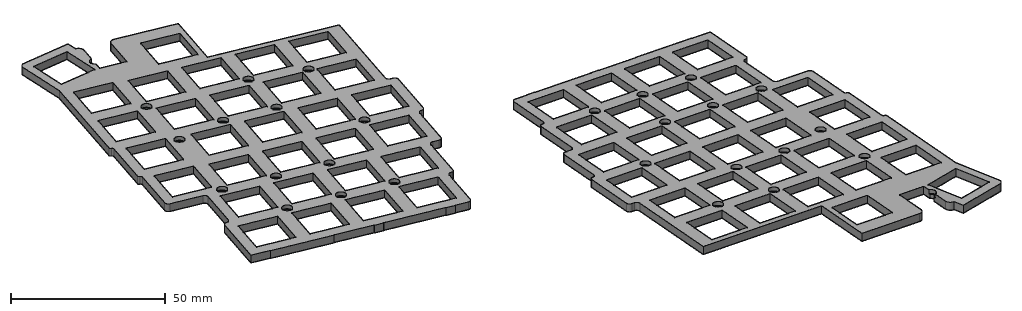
import cadquery as cq
import math

plate_width = 141.7
plate_height = 107.3
plate_thickness = 3.0

column_count = 6
row_count = 4
column_span = 95.2
key_pitch = column_span / (column_count - 1)
cutout_size = 14.0
edge_margin = 10.8
first_column_x = 35.4
first_column_top_y = plate_height - edge_margin - key_pitch / 4
column_staggers = [key_pitch * sixteenths / 16 for sixteenths in (0, 1, 4, 2, -2, -4)]

bottom_row_staggers = [key_pitch * sixteenths / 16 for sixteenths in (0, 0, 1, 2)]
bottom_row_shift = -1.0

arm_key_x = first_column_x - key_pitch
arm_key_y = 47.7

thumb_tilt = math.radians(15)
thumb_left_margin = 10.5
thumb_upper_margin = 10.3
thumb_lower_margin = 10.0
thumb_corner_radius = 1.8
thumb_x = thumb_left_margin * math.cos(thumb_tilt) + thumb_upper_margin * math.sin(thumb_tilt)
thumb_y = (
    (thumb_lower_margin - thumb_corner_radius) * math.cos(thumb_tilt)
    + (thumb_left_margin - thumb_corner_radius) * math.sin(thumb_tilt)
    + thumb_corner_radius
)

body_left = 26.2
body_top = 103.7
top_steps_x = [62.9, 84.6, 103.5, 122.8]
pad_height = 0.1
body_right = plate_width - pad_height
lower_right_step_x = 120.2
bottom_steps_x = [102.2, 83.0, 63.6]
arm_left = 3.7
arm_top = 56.8
arm_bottom = 32.0
notch_right = 17.7
notch_bottom = 22.4
corner_radius = 1.3
step_radius_share = 0.48
arm_radius = 2.0

edge_pads = [(88.4, 3.4), (62.9, 3.4), (26.1, 22.5)]

screw_diameter = 2.4
head_diameter = 3.5
head_depth = 1.4
screw_columns = {63.2: (64.3, 45.3), 101.2: (65.6, 46.6, 27.5), 120.3: (79.9, 60.9, 41.8)}
single_screws = [(82.2, 86.9), (46.5, 83.5), (43.9, 63.2), (45.2, 26.4), (67.9, 27.6), (13.2, 22.8)]


def column_key(column, row):
    """Centre of a grid key, counting rows from the top."""
    x = first_column_x + column * key_pitch
    y = first_column_top_y + column_staggers[column] - row * key_pitch
    return x, y


def bottom_key(column):
    """Centre of a key in the bottom row."""
    x = first_column_x + bottom_row_shift + column * key_pitch
    y = first_column_top_y - row_count * key_pitch + bottom_row_staggers[column]
    return x, y


def thumb_point(along, across):
    """Point given in the tilted axes of the thumb key."""
    x = thumb_x + along * math.cos(thumb_tilt) - across * math.sin(thumb_tilt)
    y = thumb_y + along * math.sin(thumb_tilt) + across * math.cos(thumb_tilt)
    return x, y


def step_corners(x, start_y, end_y):
    """Both rounded corners of a step in the outline."""
    radius = min(corner_radius, step_radius_share * abs(end_y - start_y))
    return [(x, start_y, radius), (x, end_y, radius)]


def outline_corners():
    """Corners of the plate, clockwise from the upper left, as (x, y, rounding radius)."""
    corners = [(body_left, body_top, 0)]

    edge_y = body_top
    for column, step_x in enumerate(top_steps_x, start=2):
        next_y = column_key(column, 0)[1] + edge_margin
        corners += step_corners(step_x, edge_y, next_y)
        edge_y = next_y
    corners.append((body_right, edge_y, corner_radius))

    fifth_bottom = column_key(4, row_count - 1)[1] - edge_margin
    sixth_bottom = column_key(5, row_count - 1)[1] - edge_margin
    corners.append((body_right, sixth_bottom, 0))
    corners += step_corners(lower_right_step_x, sixth_bottom, fifth_bottom)

    edge_y = fifth_bottom
    for column, step_x in zip((3, 2, 1), bottom_steps_x):
        next_y = bottom_key(column)[1] - edge_margin
        corners += step_corners(step_x, edge_y, next_y)
        edge_y = next_y

    lower_left = thumb_point(-thumb_left_margin, -thumb_lower_margin)
    upper_left = thumb_point(-thumb_left_margin, thumb_upper_margin)
    slope = math.tan(thumb_tilt)
    corners += [
        (lower_left[0] + (edge_y - lower_left[1]) / slope, edge_y, 0),
        (*lower_left, thumb_corner_radius),
        (*upper_left, 0),
        (arm_left, upper_left[1] + (arm_left - upper_left[0]) * slope, 0),
        (arm_left, notch_bottom, arm_radius),
    ]

    corners += [
        (notch_right, notch_bottom, 0),
        (notch_right, arm_bottom, 0),
        (arm_left, arm_bottom, arm_radius),
        (arm_left, arm_top, 0),
        (body_left, arm_top, 0),
    ]
    return corners


def make_plate():
    corners = outline_corners()
    plate = cq.Workplane("XY").polyline([(x, y) for x, y, _ in corners]).close().extrude(plate_thickness)
    for x, y, radius in corners:
        if radius > 0:
            corner_edge = cq.NearestToPointSelector((x, y, plate_thickness / 2))
            plate = plate.edges("|Z").edges(corner_edge).fillet(radius)
    for pad_bottom, pad_length in edge_pads:
        pad = cq.Workplane("XY").box(edge_margin, pad_length, plate_thickness, centered=False)
        plate = plate.union(pad.translate((plate_width - edge_margin, pad_bottom, 0)))
    return plate


def make_key_cutouts():
    key_centres = [column_key(column, row) for column in range(column_count) for row in range(row_count)]
    key_centres += [bottom_key(column) for column in range(len(bottom_row_staggers))]
    key_centres.append((arm_key_x, arm_key_y))
    cutouts = cq.Workplane("XY").pushPoints(key_centres).rect(cutout_size, cutout_size)
    cutouts = cutouts.extrude(plate_thickness)
    thumb = cq.Workplane("XY").rect(cutout_size, cutout_size).extrude(plate_thickness)
    thumb = thumb.rotate((0, 0, 0), (0, 0, 1), math.degrees(thumb_tilt))
    return cutouts.add(thumb.translate((thumb_x, thumb_y, 0))).combine()


def make_screw_holes():
    centres = single_screws + [(x, y) for x, heights in screw_columns.items() for y in heights]
    shanks = cq.Workplane("XY").pushPoints(centres).circle(screw_diameter / 2).extrude(plate_thickness)
    heads = cq.Workplane("XY").workplane(offset=plate_thickness - head_depth)
    heads = heads.pushPoints(centres).circle(head_diameter / 2).extrude(head_depth)
    return shanks.union(heads)


result = make_plate().cut(make_key_cutouts()).cut(make_screw_holes())